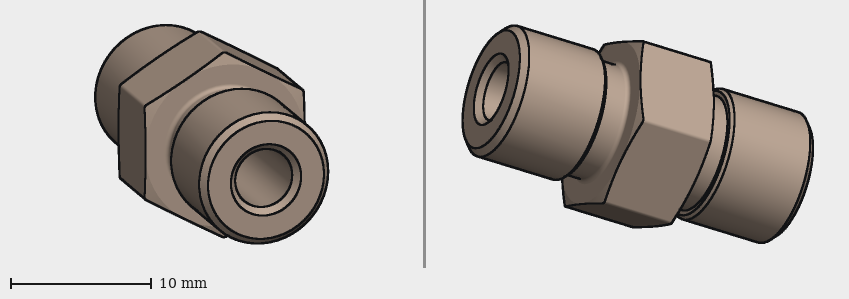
import cadquery as cq
import math

length = 23.6
half_length = length / 2

hex_width = 5.9
hex_across_flats = 12.0
hex_edge_radius = 0.3
hex_chamfer_angle = 15.0

thread_diameter = 9.72
thread_length = 6.85
thread_end_chamfer = 0.5
thread_run_out_chamfer = 0.25
neck_diameter = 8.5
neck_fillet = 0.3

bore_diameter = 4.3
bore_chamfer = 0.5


def make_hexagon():
    """Hexagon with two corners on the Z axis, rounded edges and turned faces."""
    across_corners = hex_across_flats / math.cos(math.radians(30))
    prism = (
        cq.Workplane("YZ")
        .polygon(6, across_corners)
        .extrude(hex_width / 2, both=True)
        .rotate((0, 0, 0), (1, 0, 0), 90)
        .edges("|X")
        .fillet(hex_edge_radius)
    )
    face_radius = hex_across_flats / 2
    corner_radius = across_corners / 2
    cone_depth = (corner_radius - face_radius) * math.tan(math.radians(hex_chamfer_angle))
    half_width = hex_width / 2
    envelope = (
        cq.Workplane("XY")
        .moveTo(-half_width, 0)
        .lineTo(-half_width, face_radius)
        .lineTo(-half_width + cone_depth, corner_radius)
        .lineTo(half_width - cone_depth, corner_radius)
        .lineTo(half_width, face_radius)
        .lineTo(half_width, 0)
        .close()
        .revolve(360, (0, 0, 0), (1, 0, 0))
    )
    return prism.intersect(envelope)


def make_threaded_end():
    """Right-hand neck and threaded end, turned from the middle of the part outwards."""
    neck_radius = neck_diameter / 2
    thread_radius = thread_diameter / 2
    hex_face = hex_width / 2
    thread_start = half_length - thread_length
    profile = (
        cq.Workplane("XY")
        .lineTo(0, neck_radius + neck_fillet)
        .lineTo(hex_face, neck_radius + neck_fillet)
        .radiusArc((hex_face + neck_fillet, neck_radius), -neck_fillet)
        .lineTo(thread_start, neck_radius)
        .lineTo(thread_start, thread_radius - thread_run_out_chamfer)
        .lineTo(thread_start + thread_run_out_chamfer, thread_radius)
        .lineTo(half_length - thread_end_chamfer, thread_radius)
        .lineTo(half_length, thread_radius - thread_end_chamfer)
        .lineTo(half_length, 0)
        .close()
    )
    return profile.revolve(360, (0, 0, 0), (1, 0, 0))


def make_bore():
    """Through bore, widened by a chamfer at both mouths."""
    bore_radius = bore_diameter / 2
    mouth_radius = bore_radius + bore_chamfer
    profile = (
        cq.Workplane("XY")
        .moveTo(-half_length, 0)
        .lineTo(-half_length, mouth_radius)
        .lineTo(-half_length + bore_chamfer, bore_radius)
        .lineTo(half_length - bore_chamfer, bore_radius)
        .lineTo(half_length, mouth_radius)
        .lineTo(half_length, 0)
        .close()
    )
    return profile.revolve(360, (0, 0, 0), (1, 0, 0))


threaded_end = make_threaded_end()
result = (
    make_hexagon()
    .union(threaded_end)
    .union(threaded_end.mirror("YZ"))
    .cut(make_bore())
)